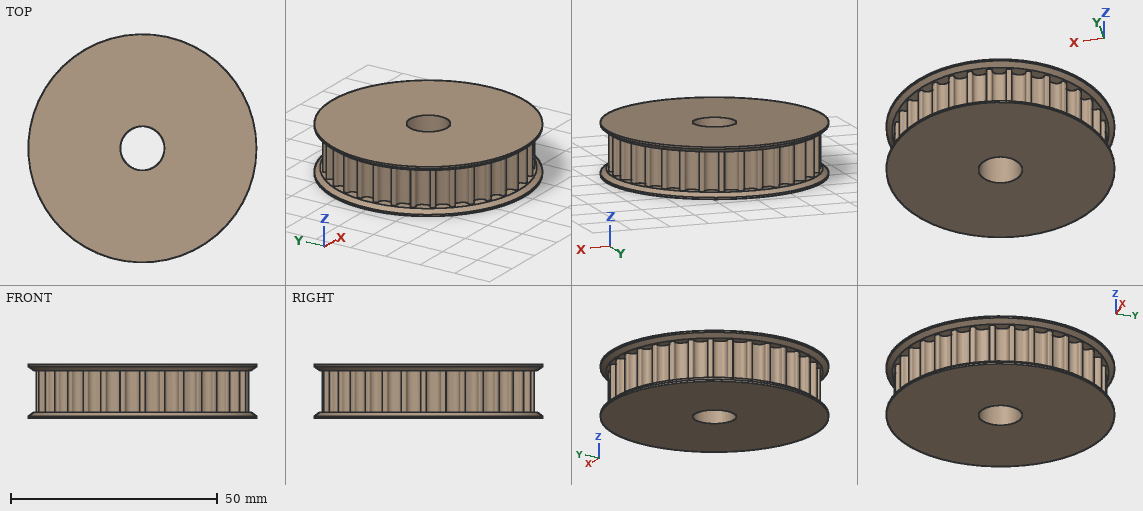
import cadquery as cq
import math

flange_diameter = 55.25
total_height = 13.0
bore_diameter = 10.6

rim_height = 0.5
cone_height = 1.0
cone_inset = 1.4

tooth_count = 33
toothed_diameter = 51.35
groove_depth = 2.05
groove_floor_width = 0.8
groove_corner_radius = 1.3
tooth_tip_radius = 0.45
first_tooth_angle = -90.0

flange_radius = flange_diameter / 2
cone_foot_radius = flange_radius - cone_inset
flange_height = rim_height + cone_height
belt_height = total_height - 2 * flange_height
toothed_radius = toothed_diameter / 2
groove_floor_radius = toothed_radius - groove_depth
groove_half_width = groove_floor_width / 2 + groove_corner_radius
tooth_pitch_angle = 360.0 / tooth_count


def flange():
    """Flange with its flat outer face on Z = 0 and its cone rising to the teeth."""
    return (
        cq.Workplane("XZ")
        .lineTo(flange_radius, 0)
        .lineTo(flange_radius, rim_height)
        .lineTo(cone_foot_radius, flange_height)
        .lineTo(0, flange_height)
        .close()
        .revolve(360, (0, 0), (0, 1))
    )


def groove_cutter():
    """U-shaped belt groove on the +X side, flaring into the rounded tips of its two teeth."""
    tip_center_y = groove_half_width + tooth_tip_radius
    tip_center_x = math.sqrt((toothed_radius - tooth_tip_radius) ** 2 - tip_center_y**2)
    tip_angle = math.atan2(tip_center_y, tip_center_x)
    crown_x = toothed_radius * math.cos(tip_angle)
    crown_y = toothed_radius * math.sin(tip_angle)
    mid_angle = (tip_angle - math.pi / 2) / 2
    tip_mid_x = tip_center_x + tooth_tip_radius * math.cos(mid_angle)
    tip_mid_y = tip_center_y + tooth_tip_radius * math.sin(mid_angle)

    floor_y = groove_floor_width / 2
    wall_x = groove_floor_radius + groove_corner_radius
    corner_reach = groove_corner_radius * math.sin(math.pi / 4)
    corner_mid_x = wall_x - corner_reach
    corner_mid_y = floor_y + corner_reach

    return (
        cq.Workplane("XY")
        .moveTo(groove_floor_radius, -floor_y)
        .lineTo(groove_floor_radius, floor_y)
        .threePointArc((corner_mid_x, corner_mid_y), (wall_x, groove_half_width))
        .lineTo(tip_center_x, groove_half_width)
        .threePointArc((tip_mid_x, tip_mid_y), (crown_x, crown_y))
        .threePointArc((toothed_radius, 0), (crown_x, -crown_y))
        .threePointArc((tip_mid_x, -tip_mid_y), (tip_center_x, -groove_half_width))
        .lineTo(wall_x, -groove_half_width)
        .threePointArc((corner_mid_x, -corner_mid_y), (groove_floor_radius, -floor_y))
        .close()
        .extrude(belt_height)
    )


def toothed_rim():
    """Toothed cylinder standing on Z = 0, as tall as the gap between the flanges."""
    blank = cq.Workplane("XY").circle(toothed_radius).extrude(belt_height)
    groove = groove_cutter().val()
    first_groove_angle = first_tooth_angle + tooth_pitch_angle / 2
    grooves = [
        groove.rotate(
            cq.Vector(0, 0, 0),
            cq.Vector(0, 0, 1),
            first_groove_angle + index * tooth_pitch_angle,
        )
        for index in range(tooth_count)
    ]
    return blank.cut(cq.Workplane(cq.Compound.makeCompound(grooves)))


bottom_flange = flange().translate((0, 0, -total_height / 2))
top_flange = bottom_flange.mirror("XY")
teeth = toothed_rim().translate((0, 0, -belt_height / 2))
bore = cq.Workplane("XY").circle(bore_diameter / 2).extrude(total_height / 2, both=True)

result = teeth.union(bottom_flange).union(top_flange).cut(bore)